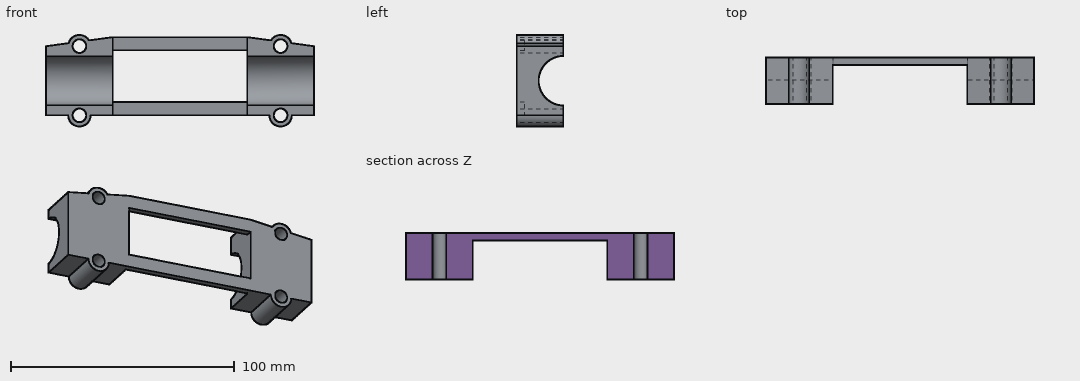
import cadquery as cq

length = 120.0
depth = 21.0
height = 41.0

block_length = 30.0
inner_height = 35.0
bore_radius = 11.0

boss_radius = 5.0
screw_hole_diameter = 6.0
screw_spacing = height - 2 * boss_radius
outer_height = screw_spacing

rail_height = 6.0
rail_depth = 3.5

boss_x = block_length / 2
bore_z = screw_spacing / 2
screw_points = [(boss_x, 0), (boss_x, screw_spacing)]


def extrude_back(sketch):
    """Extrude an XZ sketch from the open face to the back face."""
    return sketch.extrude(-depth)


def make_clamp():
    """Left clamp block with sloped top, screw bosses and half-round saddle."""
    block = extrude_back(
        cq.Workplane("XZ").polyline(
            [(0, 0), (block_length, 0), (block_length, inner_height), (0, outer_height)]
        ).close()
    )
    bosses = extrude_back(cq.Workplane("XZ").pushPoints(screw_points).circle(boss_radius))
    holes = extrude_back(
        cq.Workplane("XZ").pushPoints(screw_points).circle(screw_hole_diameter / 2)
    )
    bore = cq.Workplane("YZ").center(0, bore_z).circle(bore_radius).extrude(block_length)
    return block.union(bosses).cut(holes).cut(bore)


def make_rail(bottom_z):
    """Rail spanning the gap between the blocks, flush with the back face."""
    return cq.Workplane("XY").box(
        length - 2 * block_length, rail_depth, rail_height, centered=False
    ).translate((block_length, depth - rail_depth, bottom_z))


left_clamp = make_clamp()
right_clamp = left_clamp.mirror("YZ").translate((length, 0, 0))
result = left_clamp.union(right_clamp)
for rail_bottom in (0, inner_height - rail_height):
    result = result.union(make_rail(rail_bottom))